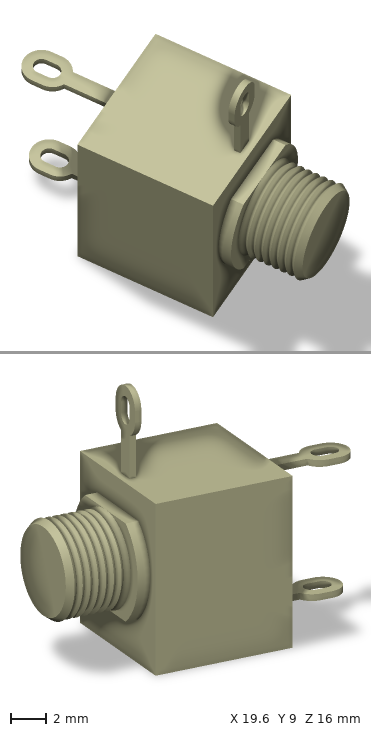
import cadquery as cq

body_length = 8.8
body_width = 9.0
body_height = 10.49

bushing_z = 5.7
flange_diameter = 7.7
flange_thickness = 0.8
crest_radius = 3.0
root_radius = 2.7
thread_pitch = 0.5
inner_crests = 6
thread_length = 4.0
thread_depth = crest_radius - root_radius

lug_thickness = 0.41
stem_width = 1.0
eye_width = 2.3
eye_length = 3.0
eye_hole_length = 1.7
upper_lug_length = 19.6 - body_length - flange_thickness - thread_length
short_lug_length = 5.5
rear_lug_inset = 1.2
top_lug_inset = 0.69


def make_body():
    return cq.Workplane("XY").box(body_length, body_width, body_height, centered=(False, True, False))


def make_flange():
    """Round flange with flats above and below, level with the thread crests."""
    flats = cq.Workplane("XY").box(flange_thickness, flange_diameter, 2 * crest_radius,
                                   centered=(False, True, True))
    disc = cq.Workplane("YZ").circle(flange_diameter / 2).extrude(flange_thickness)
    return disc.intersect(flats).translate((body_length, 0, bushing_z))


def make_thread():
    """Ring-shaped V grooves with 45 degree flanks and a full-height last crest."""
    profile = [(0, 0), (0, crest_radius)]
    for crest in range(inner_crests):
        root_x = thread_depth + crest * thread_pitch
        profile.append((root_x, root_radius))
        profile.append((root_x + thread_pitch / 2, root_radius + thread_pitch / 2))
    last_root_x = thread_depth + inner_crests * thread_pitch
    profile += [
        (last_root_x, root_radius),
        (last_root_x + thread_depth, crest_radius),
        (thread_length, root_radius),
        (thread_length, 0),
    ]
    thread = cq.Workplane("XY").polyline(profile).close().revolve(360, (0, 0), (1, 0))
    return thread.translate((body_length + flange_thickness, 0, bushing_z))


def make_lug(length):
    """Flat lug along -X from the origin, ending in a slotted eye."""
    eye_x = eye_length / 2 - length
    stem = cq.Workplane("XY").box(-eye_x, stem_width, lug_thickness).translate((eye_x / 2, 0, 0))
    eye = cq.Workplane("XY").slot2D(eye_length, eye_width).extrude(lug_thickness / 2, both=True)
    hole = cq.Workplane("XY").slot2D(eye_hole_length, stem_width).extrude(lug_thickness, both=True)
    return stem.union(eye.translate((eye_x, 0, 0))).cut(hole.translate((eye_x, 0, 0)))


upper_lug = make_lug(upper_lug_length).translate((0, 0, body_height - rear_lug_inset))
lower_lug = make_lug(short_lug_length).translate((0, 0, rear_lug_inset))
top_lug = (
    make_lug(short_lug_length)
    .rotate((0, 0, 0), (0, 1, 0), 90)
    .translate((body_length - top_lug_inset, 0, body_height))
)

result = make_body()
for piece in (make_flange(), make_thread(), upper_lug, lower_lug, top_lug):
    result = result.union(piece)